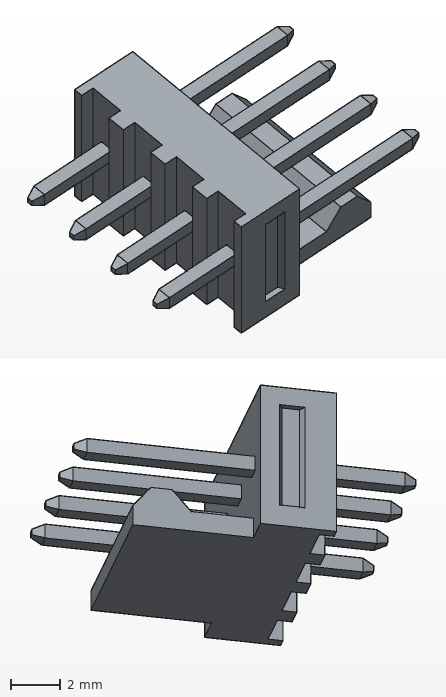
import cadquery as cq

pin_count = 4
pitch = 2.54

housing_width = pin_count * pitch
housing_depth = 3.165
housing_height = 6.35

recess_width = 1.67
recess_depth = 0.62

pin_size = 0.64
pin_length = 14.22
pin_front_reach = 3.56
pin_axis_height = 3.24
tip_length = 0.5
tip_size = 0.26

latch_width = (pin_count - 1) * pitch
latch_reach = 5.02
latch_thickness = 0.89
hook_height = 1.8
hook_crest_back = 4.27
hook_crest_front = 3.38
hook_foot = 2.59

pocket_height = 4.6
pocket_mouth = 1.05
pocket_floor = 0.73
pocket_depth = 0.27
pocket_center_y = 1.84

pin_positions = [(i - (pin_count - 1) / 2) * pitch for i in range(pin_count)]


def make_housing():
    housing = cq.Workplane("XY").box(
        housing_width, housing_depth, housing_height, centered=(True, False, False)
    )
    recess = cq.Workplane("XY").box(
        recess_width, recess_depth, housing_height, centered=(True, False, False)
    )
    for x in pin_positions:
        housing = housing.cut(recess.translate((x, 0, 0)))
    return housing


def make_end_pocket():
    """Pocket cutter for the -X end: a trapezoid in plan, straight in Z."""
    face_x = -housing_width / 2
    floor_x = face_x + pocket_depth
    return (
        cq.Workplane("XY", origin=(0, pocket_center_y, pin_axis_height - pocket_height / 2))
        .moveTo(face_x, -pocket_mouth / 2)
        .lineTo(floor_x, -pocket_floor / 2)
        .lineTo(floor_x, pocket_floor / 2)
        .lineTo(face_x, pocket_mouth / 2)
        .close()
        .extrude(pocket_height)
    )


def make_latch():
    """Plate flush with the housing underside, ending in a raised hook."""
    profile = [
        (0, 0),
        (latch_reach, 0),
        (latch_reach, latch_thickness),
        (hook_crest_back, hook_height),
        (hook_crest_front, hook_height),
        (hook_foot, latch_thickness),
        (0, latch_thickness),
    ]
    return (
        cq.Workplane("YZ", origin=(-latch_width / 2, housing_depth, 0))
        .polyline(profile)
        .close()
        .extrude(latch_width)
    )


def make_pin_tip():
    """Truncated pyramid pointing along +Y, with its base at Y = 0."""
    return (
        cq.Workplane("XZ")
        .rect(pin_size, pin_size)
        .workplane(offset=-tip_length)
        .rect(tip_size, tip_size)
        .loft()
    )


def make_pin():
    """Pin centred on the X and Z axes, with its front end at Y = 0."""
    shank_length = pin_length - 2 * tip_length
    shank = cq.Workplane("XY").box(pin_size, shank_length, pin_size)
    back_tip = make_pin_tip().translate((0, shank_length / 2, 0))
    front_tip = back_tip.mirror("XZ")
    return shank.union(back_tip).union(front_tip).translate((0, pin_length / 2, 0))


end_pocket = make_end_pocket()
result = make_housing().cut(end_pocket).cut(end_pocket.mirror("YZ"))
result = result.union(make_latch())

pin = make_pin()
for pin_x in pin_positions:
    result = result.union(pin.translate((pin_x, -pin_front_reach, pin_axis_height)))